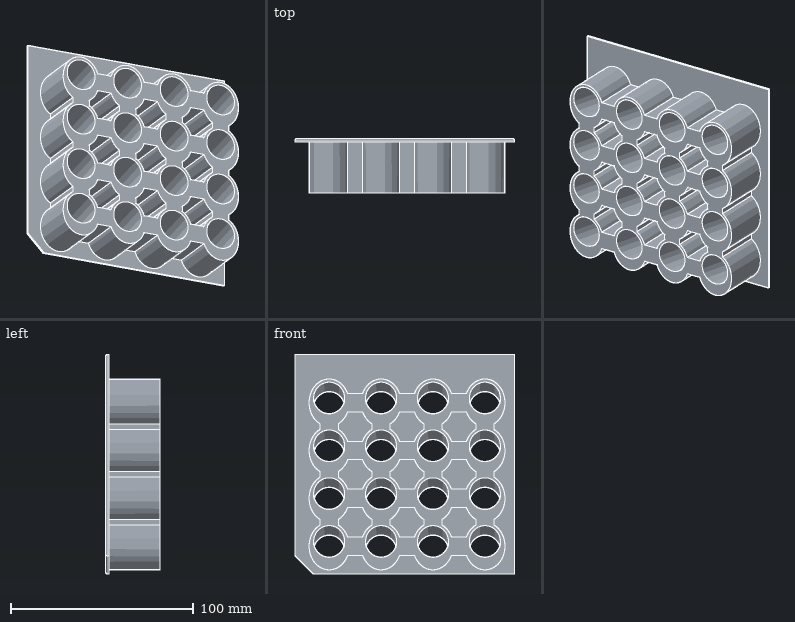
import cadquery as cq
import math

PLATE_SIDE = 120.6
PLATE_THICKNESS = 2.0
CORNER_CUT = 10.0
RIM_RADIUS = 1.2
TOTAL_DEPTH = 30.0

COLUMNS = 4
ROWS = 4
COLUMN_PITCH = 28.5
ROW_PITCH = 26.25
FIRST_COLUMN_X = 18.8
FIRST_ROW_Z = 15.3

SLEEVE_WIDTH = 22.0
SLEEVE_HEIGHT = 26.0
WEB_THICKNESS = 10.0
BORE_DIAMETER = 17.0
BORE_TILT = 10.0

PLATE_FRONT_Y = TOTAL_DEPTH - PLATE_THICKNESS
SLEEVE_OVERLAP = PLATE_THICKNESS / 2
SLEEVE_LENGTH = PLATE_FRONT_Y + SLEEVE_OVERLAP
BORE_CUT_LENGTH = 2 * TOTAL_DEPTH
GRID_WIDTH = (COLUMNS - 1) * COLUMN_PITCH
GRID_HEIGHT = (ROWS - 1) * ROW_PITCH

column_xs = [FIRST_COLUMN_X + i * COLUMN_PITCH for i in range(COLUMNS)]
row_zs = [FIRST_ROW_Z + i * ROW_PITCH for i in range(ROWS)]
grid_points = [(x, z) for x in column_xs for z in row_zs]


def make_plate():
    """Square plate with one cut corner and a rounded rim on its back face."""
    outline = [
        (CORNER_CUT, 0),
        (PLATE_SIDE, 0),
        (PLATE_SIDE, PLATE_SIDE),
        (0, PLATE_SIDE),
        (0, CORNER_CUT),
    ]
    back_plane = cq.Workplane("XZ", origin=(0, TOTAL_DEPTH, 0))
    plate = back_plane.polyline(outline).close().extrude(PLATE_THICKNESS)
    return plate.faces(">Y").fillet(RIM_RADIUS)


def front_plane():
    """XZ plane on the front of the sleeves; a negative extrusion runs towards the plate (+Y)."""
    return cq.Workplane("XZ")


def make_sleeves():
    """Oval sleeves standing on the plate."""
    sleeves = front_plane().pushPoints(grid_points).ellipse(SLEEVE_WIDTH / 2, SLEEVE_HEIGHT / 2)
    return sleeves.extrude(-SLEEVE_LENGTH)


def make_webs():
    """Straight webs joining the sleeves along every row and column."""
    mid_x = FIRST_COLUMN_X + GRID_WIDTH / 2
    mid_z = FIRST_ROW_Z + GRID_HEIGHT / 2
    row_webs = front_plane().pushPoints([(mid_x, z) for z in row_zs]).rect(GRID_WIDTH, WEB_THICKNESS)
    column_webs = front_plane().pushPoints([(x, mid_z) for x in column_xs]).rect(WEB_THICKNESS, GRID_HEIGHT)
    return row_webs.extrude(-SLEEVE_LENGTH).union(column_webs.extrude(-SLEEVE_LENGTH))


def make_bore(x, z):
    """Tilted cylinder crossing the sleeve axis at half the total depth."""
    tilt = math.radians(BORE_TILT)
    direction = cq.Vector(0, math.cos(tilt), -math.sin(tilt))
    start = cq.Vector(x, TOTAL_DEPTH / 2, z) - direction * (BORE_CUT_LENGTH / 2)
    return cq.Solid.makeCylinder(BORE_DIAMETER / 2, BORE_CUT_LENGTH, start, direction)


result = make_plate().union(make_sleeves()).union(make_webs())
for bore_x, bore_z in grid_points:
    result = result.cut(cq.Workplane(make_bore(bore_x, bore_z)))